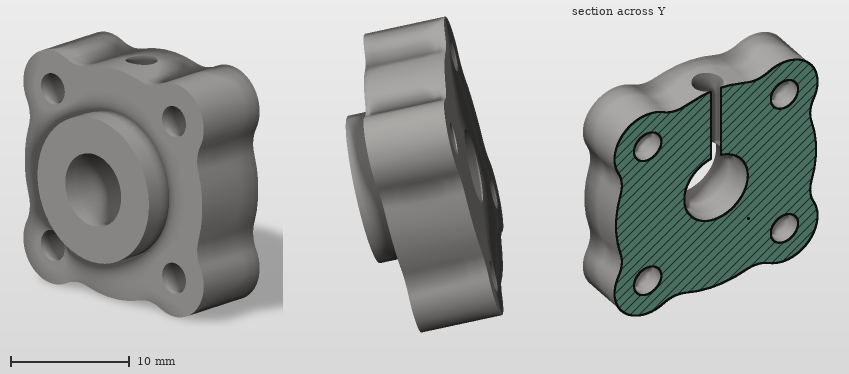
import cadquery as cq
import math

width = 20.57
depth = 9.52
plate_thickness = 7.0
boss_diameter = 12.71
bore_diameter = 6.38

disc_radius = 10.15
lobe_radius = 3.37
blend_radius = 3.0
lobe_offset = width / 2 - lobe_radius

bolt_hole_diameter = 2.72
set_screw_diameter = 2.72

boss_height = depth - plate_thickness
corner_angles = [45, 135, 225, 315]


def polar(radius, angle_degrees, center=(0, 0)):
    """Point at a radius and angle from a center."""
    angle = math.radians(angle_degrees)
    return (center[0] + radius * math.cos(angle), center[1] + radius * math.sin(angle))


def scalloped_plate():
    """Plate whose outline runs tangentially through lobes, blends and disc arcs."""
    lobe_distance = lobe_offset * math.sqrt(2)
    to_disc = disc_radius + blend_radius
    to_lobe = lobe_radius + blend_radius
    cos_at_disc = (lobe_distance**2 + to_disc**2 - to_lobe**2) / (2 * lobe_distance * to_disc)
    cos_at_lobe = (lobe_distance**2 + to_lobe**2 - to_disc**2) / (2 * lobe_distance * to_lobe)
    disc_angle = math.degrees(math.acos(cos_at_disc))
    lobe_angle = 180 - math.degrees(math.acos(cos_at_lobe))

    outline = cq.Workplane("XZ").moveTo(*polar(disc_radius, corner_angles[0] - disc_angle))
    for corner in corner_angles:
        lobe = polar(lobe_distance, corner)
        blend_before = polar(to_disc, corner - disc_angle)
        blend_after = polar(to_disc, corner + disc_angle)
        blend_middle = 180 + (lobe_angle + disc_angle) / 2
        outline = outline.threePointArc(
            polar(blend_radius, corner - blend_middle, blend_before),
            polar(lobe_radius, corner - lobe_angle, lobe),
        )
        outline = outline.threePointArc(
            polar(lobe_radius, corner, lobe),
            polar(lobe_radius, corner + lobe_angle, lobe),
        )
        outline = outline.threePointArc(
            polar(blend_radius, corner + blend_middle, blend_after),
            polar(disc_radius, corner + disc_angle),
        )
        outline = outline.threePointArc(
            polar(disc_radius, corner + 45),
            polar(disc_radius, corner + 90 - disc_angle),
        )
    return outline.close().extrude(plate_thickness)


boss = cq.Workplane("XZ", origin=(0, -plate_thickness, 0)).circle(boss_diameter / 2).extrude(boss_height)
body = scalloped_plate().union(boss)

bore = cq.Workplane("XZ").circle(bore_diameter / 2).extrude(depth)
bolt_holes = (
    cq.Workplane("XZ")
    .rect(2 * lobe_offset, 2 * lobe_offset, forConstruction=True)
    .vertices()
    .circle(bolt_hole_diameter / 2)
    .extrude(plate_thickness)
)

set_screw_hole = (
    cq.Workplane("XY", origin=(0, -plate_thickness / 2, 0))
    .circle(set_screw_diameter / 2)
    .extrude(width / 2)
)

result = body.cut(bore).cut(bolt_holes).cut(set_screw_hole)